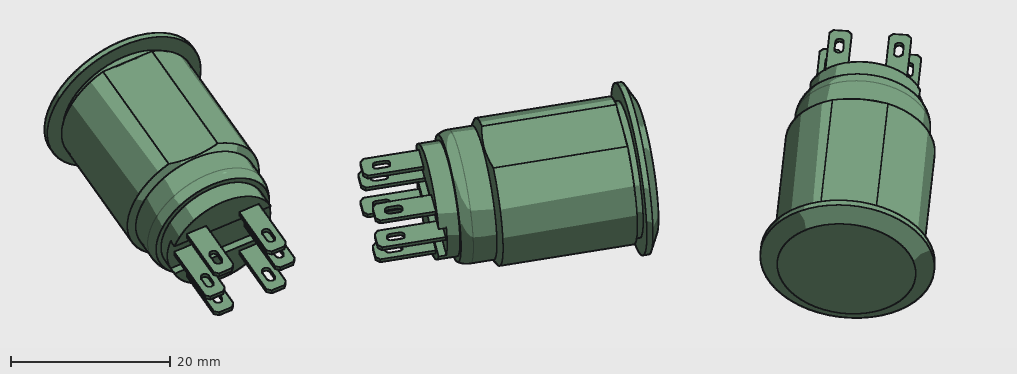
import cadquery as cq

total_length = 35.5

bezel_radius = 22.0 / 2
face_radius = 17.5 / 2
neck_radius = 17.5 / 2
body_radius = 18.9 / 2
sleeve_radius = 17.1 / 2
sleeve_end_radius = 16.23 / 2
base_radius = 14.8 / 2

bezel_bevel_end = 1.2
bezel_back = 2.0
body_start = 2.88
body_bevel_start = 20.15
body_bevel_end = 20.75
sleeve_round_start = 23.8
sleeve_end = 25.25
base_end = 27.88

flat_height = 8.77

channel_width = 5.33
channel_depth = 1.0

terminal_width = 2.8
terminal_thickness = 0.6
terminal_corner = 0.5
terminal_row_pitch = 3.8
outer_terminal_offset = 3.75
middle_terminal_offset = 5.0
eyelet_length = 2.27
eyelet_width = 1.1
eyelet_end_gap = 1.4


def make_housing():
    profile = (
        cq.Workplane("XY")
        .lineTo(0, face_radius)
        .lineTo(bezel_bevel_end, bezel_radius)
        .lineTo(bezel_back, bezel_radius)
        .lineTo(bezel_back, neck_radius)
        .lineTo(body_start, neck_radius)
        .lineTo(body_start, body_radius)
        .lineTo(body_bevel_start, body_radius)
        .lineTo(body_bevel_end, sleeve_radius)
        .lineTo(sleeve_round_start, sleeve_radius)
        .tangentArcPoint((sleeve_end, sleeve_end_radius), relative=False)
        .lineTo(sleeve_end, base_radius)
        .lineTo(base_end, base_radius)
        .lineTo(base_end, 0)
        .close()
    )
    return profile.revolve(360, (0, 0, 0), (1, 0, 0))


def make_flat_cutter():
    return cq.Workplane("XY").box(
        body_bevel_end - body_start,
        2 * body_radius,
        body_radius - flat_height,
        centered=(False, True, False),
    ).translate((body_start, 0, flat_height))


def make_channel_cutter():
    return cq.Workplane("XY").box(
        channel_depth,
        2 * base_radius,
        channel_width,
        centered=(False, True, True),
    ).translate((base_end - channel_depth, 0, 0))


def make_terminal(root, y, z):
    """Flat blade from X = root to the rear end, with an eyelet and cut corners."""
    length = total_length - root
    blade = (
        cq.Workplane("XY")
        .box(length, terminal_width, terminal_thickness, centered=(False, True, True))
        .edges("|Z and >X")
        .chamfer(terminal_corner)
    )
    eyelet_center = length - eyelet_end_gap - eyelet_length / 2
    eyelet = (
        cq.Workplane("XY")
        .center(eyelet_center, 0)
        .slot2D(eyelet_length, eyelet_width)
        .extrude(terminal_thickness, both=True)
    )
    return blade.cut(eyelet).translate((root, y, z))


result = make_housing().cut(make_flat_cutter()).cut(make_channel_cutter())

terminal_root = sleeve_end
for side in (-1, 1):
    for row in (-1, 0, 1):
        offset = middle_terminal_offset if row == 0 else outer_terminal_offset
        terminal = make_terminal(terminal_root, side * offset, row * terminal_row_pitch)
        result = result.union(terminal)